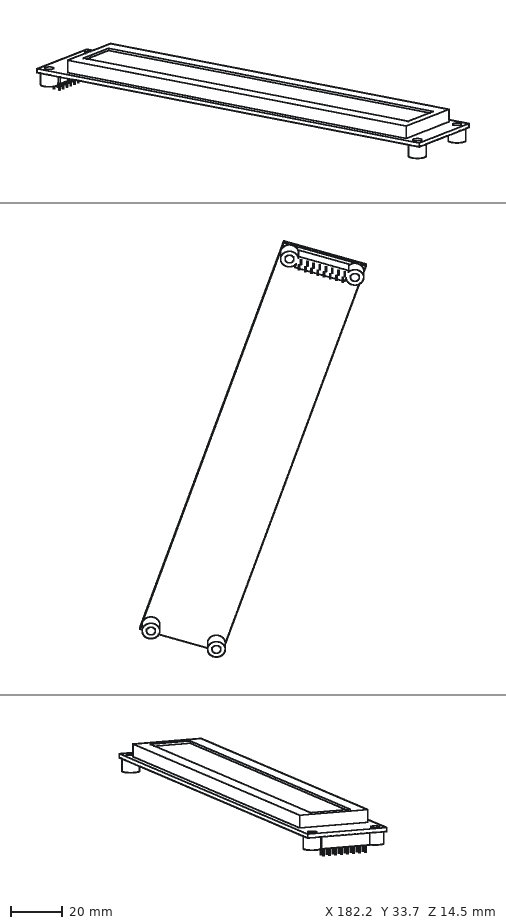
import cadquery as cq

board_length = 182.0
board_width = 33.7
board_thickness = 1.6

total_height = 14.5
pin_length = 3.0
frame_height = (total_height - board_thickness - pin_length) / 2
standoff_height = frame_height

frame_length = 161.2
frame_width = 29.0
frame_left_margin = 13.0
frame_center_x = -board_length / 2 + frame_left_margin + frame_length / 2
window_length = 154.6
window_width = 17.0
window_depth = 1.0

standoff_radius = 3.5
standoff_overhang = 0.2
hole_diameter = 3.5
standoff_left_x = -board_length / 2 + standoff_radius
standoff_right_x = board_length / 2 + standoff_overhang - standoff_radius
standoff_y = board_width / 2 - standoff_radius
standoff_centers = [
    (x, y)
    for x in (standoff_left_x, standoff_right_x)
    for y in (-standoff_y, standoff_y)
]

pin_pitch = 2.5
pin_rows = 2
pins_per_row = 8
pin_diameter = 0.5
header_length = pin_rows * pin_pitch
header_width = pins_per_row * pin_pitch
header_inset = 3.8
header_x = -board_length / 2 + header_inset


def make_block(length, width, height, center_x, bottom_z):
    """Box centred on Y = 0, standing on bottom_z."""
    return (
        cq.Workplane("XY", origin=(center_x, 0, bottom_z))
        .rect(length, width)
        .extrude(height)
    )


def make_display():
    frame = make_block(frame_length, frame_width, frame_height, frame_center_x, board_thickness)
    window_floor_z = board_thickness + frame_height - window_depth
    window = make_block(window_length, window_width, window_depth, frame_center_x, window_floor_z)
    return frame.cut(window)


def make_standoffs():
    return (
        cq.Workplane("XY")
        .pushPoints(standoff_centers)
        .circle(standoff_radius)
        .extrude(-standoff_height)
    )


def make_mounting_holes():
    return (
        cq.Workplane("XY", origin=(0, 0, -standoff_height))
        .pushPoints(standoff_centers)
        .circle(hole_diameter / 2)
        .extrude(standoff_height + board_thickness)
    )


def make_pin_header():
    body = make_block(header_length, header_width, standoff_height, header_x, -standoff_height)
    pins = (
        cq.Workplane("XY", origin=(header_x, 0, -standoff_height))
        .rarray(pin_pitch, pin_pitch, pin_rows, pins_per_row)
        .circle(pin_diameter / 2)
        .extrude(-pin_length)
    )
    return body.union(pins)


board = make_block(board_length, board_width, board_thickness, 0, 0)
result = (
    board.union(make_display())
    .union(make_standoffs())
    .union(make_pin_header())
    .cut(make_mounting_holes())
)